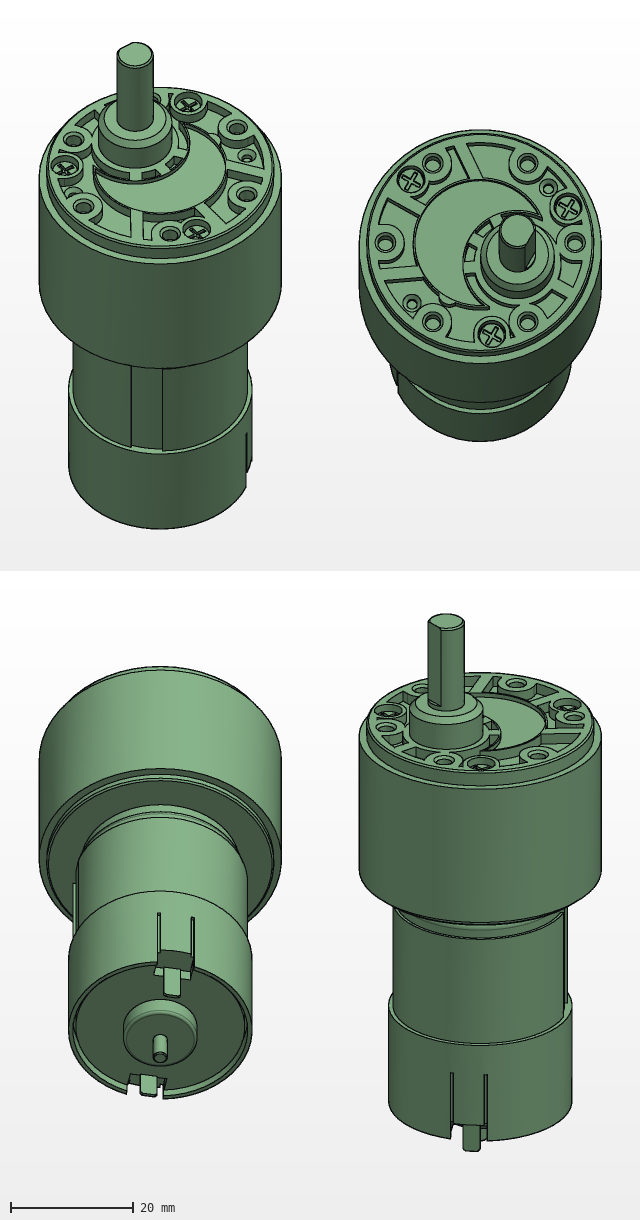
import cadquery as cq
import math

terminal_tip_z = 3.1
rear_boss_z = 4.5
sleeve_bottom_z = 6.8
motor_rear_z = 7.7
notch_top_z = 9.7
slot_top_z = 18.9
sleeve_top_z = 24.2
wrap_top_z = 43.2
can_top_z = 45.9
flange_bottom_z = 47.7
gearbox_bottom_z = 49.0
gearbox_top_z = 73.2
plate_top_z = 75.8
collar_top_z = 81.3
flat_bottom_z = 82.1
shaft_top_z = 96.2

gearbox_diameter = 39.6
plate_diameter = 37.1
neck_diameter = 26.1
can_diameter = 27.6
wrap_diameter = 28.6
sleeve_diameter = 30.0
rear_boss_diameter = 12.0
rear_shaft_diameter = 2.3
edge_break = 0.3
rear_shaft_chamfer = 0.2
can_shoulder_radius = 1.25
rear_boss_fillet = 0.5

shaft_x = -7.0
shaft_diameter = 6.0
shaft_flat_offset = 2.4
collar_diameter = 12.0
collar_chamfer = 1.0

relief_depth = 1.8
relief_radius = 16.9
rib_width = 2.0
rib_angles = (0, 35, 180, -35)
collar_ring_radius = 7.1
lens_radius = 10.7
lens_shaft_radius = 8.9
lens_depth = 0.8
lens_wall = 0.3
gate_pad_y = 10.1
gate_pad_diameter = 3.5
relief_floor_z = plate_top_z - relief_depth

mount_circle_radius = 15.5
mount_angles = (30, 90, 150, 210, 270, 330)
mount_hole_diameter = 2.5
mount_sink_diameter = 3.4
mount_hole_depth = plate_top_z - gearbox_top_z
mount_pad_radius = 3.1

screw_circle_radius = 15.6
screw_angles = (127, -127, -13.5)
screw_bore_diameter = 4.5
screw_head_diameter = 4.0
screw_head_drop = 1.2
screw_slot_length = 3.3
screw_slot_width = 0.6
screw_slot_depth = 0.6
screw_pad_radius = 3.0

dowel_circle_radius = 14.8
dowel_angles = (71.2, 251.2)
dowel_hole_diameter = 1.6
dowel_sink_diameter = 3.0
dowel_hole_depth = 1.4

seam_angle = -45
seam_width = 5.2

terminal_angles = (45, 225)
terminal_radius = 11.0
terminal_width = 2.8
terminal_thickness = 0.5
terminal_corner = 0.4
sleeve_slot_width = 0.5
sleeve_slot_offset = 2.8
sleeve_slot_floor = 14.1


def cylinder(diameter, bottom, top, x=0, y=0):
    """Upright cylinder between two heights."""
    return cq.Workplane("XY", origin=(x, y, bottom)).circle(diameter / 2).extrude(top - bottom)


def polar(radius, angle):
    """Point on a circle about the motor axis."""
    return (radius * math.cos(math.radians(angle)), radius * math.sin(math.radians(angle)))


def radial_bar(inner, outer, width, bottom, top, angle, centre_x=0, side_offset=0):
    """Bar running outwards from a vertical axis at the given angle."""
    bar = cq.Workplane("XY").box(outer - inner, width, top - bottom, centered=(False, True, False))
    bar = bar.translate((inner, side_offset, bottom))
    return bar.rotate((0, 0, 0), (0, 0, 1), angle).translate((centre_x, 0, 0))


def sunk_hole(hole_diameter, sink_diameter, depth, top, point):
    """Cutting tool for a blind hole with a 45 degree countersink."""
    sink_depth = (sink_diameter - hole_diameter) / 2
    cone = cq.Solid.makeCone(
        hole_diameter / 2, sink_diameter / 2, sink_depth, pnt=cq.Vector(*point, top - sink_depth)
    )
    return cylinder(hole_diameter, top - depth, top, *point).union(cq.Workplane(obj=cone))


def gearbox():
    body = cylinder(gearbox_diameter, gearbox_bottom_z, gearbox_top_z)
    flange = cylinder(plate_diameter, flange_bottom_z, gearbox_bottom_z).faces("<Z").chamfer(edge_break)
    plate = cylinder(plate_diameter, gearbox_top_z, plate_top_z).faces(">Z").chamfer(edge_break)
    return body.union(flange).union(plate)


def lens(wall):
    """Crescent outline as a solid: a disc on the motor axis less a disc on the shaft axis."""
    disc = cylinder(2 * (lens_radius + wall), relief_floor_z, plate_top_z)
    return disc.cut(cylinder(2 * (lens_shaft_radius - wall), relief_floor_z, plate_top_z, shaft_x))


def raised_pad(circle_radius, pad_radius, angle):
    """Round pad joined to the rim of the plate."""
    pad = cylinder(2 * pad_radius, relief_floor_z, plate_top_z, *polar(circle_radius, angle))
    bridge = radial_bar(
        circle_radius, plate_diameter / 2, 2 * pad_radius, relief_floor_z, plate_top_z, angle
    )
    return pad.union(bridge)


def plate_relief():
    """Material removed from the plate, leaving ribs, pads and the crescent standing."""
    relief = cylinder(2 * relief_radius, relief_floor_z, plate_top_z)
    relief = relief.cut(cylinder(2 * collar_ring_radius, relief_floor_z, plate_top_z, shaft_x))
    relief = relief.cut(cylinder(gate_pad_diameter, relief_floor_z, plate_top_z, 0, gate_pad_y))
    relief = relief.cut(lens(lens_wall))
    for angle in rib_angles:
        rib = radial_bar(0, gearbox_diameter, rib_width, relief_floor_z, plate_top_z, angle, shaft_x)
        relief = relief.cut(rib)
    for angle in mount_angles:
        relief = relief.cut(raised_pad(mount_circle_radius, mount_pad_radius, angle))
    for angle in screw_angles:
        relief = relief.cut(raised_pad(screw_circle_radius, screw_pad_radius, angle))
    lens_recess = lens(0).intersect(
        cylinder(gearbox_diameter, plate_top_z - lens_depth, plate_top_z)
    )
    return relief.union(lens_recess)


def cover_screw(angle):
    """Screw head with a cross recess, standing in its counterbore."""
    x, y = polar(screw_circle_radius, angle)
    head_z = plate_top_z - screw_head_drop
    head = cylinder(screw_head_diameter, relief_floor_z, head_z, x, y)
    slot_floor = cq.Workplane("XY", origin=(x, y, head_z - screw_slot_depth))
    head = head.cut(slot_floor.rect(screw_slot_length, screw_slot_width).extrude(screw_slot_depth))
    return head.cut(slot_floor.rect(screw_slot_width, screw_slot_length).extrude(screw_slot_depth))


def output_shaft():
    collar = cylinder(collar_diameter, relief_floor_z, collar_top_z, shaft_x)
    collar = collar.faces(">Z").chamfer(collar_chamfer)
    shaft = cylinder(shaft_diameter, collar_top_z, shaft_top_z, shaft_x).faces(">Z").chamfer(edge_break)
    flat = radial_bar(
        shaft_flat_offset, shaft_diameter, shaft_diameter, flat_bottom_z, shaft_top_z, 180, shaft_x
    )
    return collar.union(shaft.cut(flat))


def motor():
    neck = cylinder(neck_diameter, wrap_top_z, flange_bottom_z)
    can = cylinder(can_diameter, motor_rear_z, can_top_z).faces(">Z").edges().fillet(can_shoulder_radius)
    wrap = cylinder(wrap_diameter, sleeve_top_z, wrap_top_z)
    seam = radial_bar(0, wrap_diameter, seam_width, sleeve_top_z, wrap_top_z, seam_angle)
    rear_boss = cylinder(rear_boss_diameter, rear_boss_z, motor_rear_z)
    rear_boss = rear_boss.faces("<Z").edges().fillet(rear_boss_fillet)
    rear_shaft = cylinder(rear_shaft_diameter, 0, rear_boss_z).faces("<Z").chamfer(rear_shaft_chamfer)
    return neck.union(wrap.cut(seam)).union(can).union(rear_boss).union(rear_shaft)


def sleeve():
    """Tube around the motor, clear of the motor near its open end."""
    tube = cylinder(sleeve_diameter, sleeve_bottom_z, sleeve_top_z)
    return tube.cut(cylinder(wrap_diameter, sleeve_bottom_z, notch_top_z))


def terminal_clearance(angle):
    """Notch through sleeve and motor, with two narrow slots that free a tongue of the sleeve above it."""
    tongue_width = 2 * sleeve_slot_offset + sleeve_slot_width
    clearance = radial_bar(
        terminal_radius, sleeve_diameter, tongue_width, sleeve_bottom_z, notch_top_z, angle
    )
    for offset in (-sleeve_slot_offset, sleeve_slot_offset):
        slot = radial_bar(
            sleeve_slot_floor, sleeve_diameter, sleeve_slot_width, notch_top_z, slot_top_z, angle,
            side_offset=offset,
        )
        clearance = clearance.union(slot)
    return clearance


def terminal(angle):
    """Flat blade pointing down, with its lower corners trimmed."""
    inner = terminal_radius - terminal_thickness / 2
    outer = terminal_radius + terminal_thickness / 2
    blade = radial_bar(inner, outer, terminal_width, terminal_tip_z, notch_top_z, 0)
    blade = blade.edges("|X and <Z").chamfer(terminal_corner)
    return blade.rotate((0, 0, 0), (0, 0, 1), angle)


result = gearbox().cut(plate_relief())
for mount_angle in mount_angles:
    mount_point = polar(mount_circle_radius, mount_angle)
    result = result.cut(
        sunk_hole(mount_hole_diameter, mount_sink_diameter, mount_hole_depth, plate_top_z, mount_point)
    )
for dowel_angle in dowel_angles:
    dowel_point = polar(dowel_circle_radius, dowel_angle)
    result = result.cut(cylinder(dowel_sink_diameter, relief_floor_z, plate_top_z, *dowel_point))
    result = result.cut(
        sunk_hole(dowel_hole_diameter, dowel_sink_diameter, dowel_hole_depth, relief_floor_z, dowel_point)
    )
for screw_angle in screw_angles:
    screw_point = polar(screw_circle_radius, screw_angle)
    result = result.cut(cylinder(screw_bore_diameter, relief_floor_z, plate_top_z, *screw_point))
    result = result.union(cover_screw(screw_angle))
result = result.union(output_shaft()).union(motor()).union(sleeve())
for terminal_angle in terminal_angles:
    result = result.cut(terminal_clearance(terminal_angle))
    result = result.union(terminal(terminal_angle))